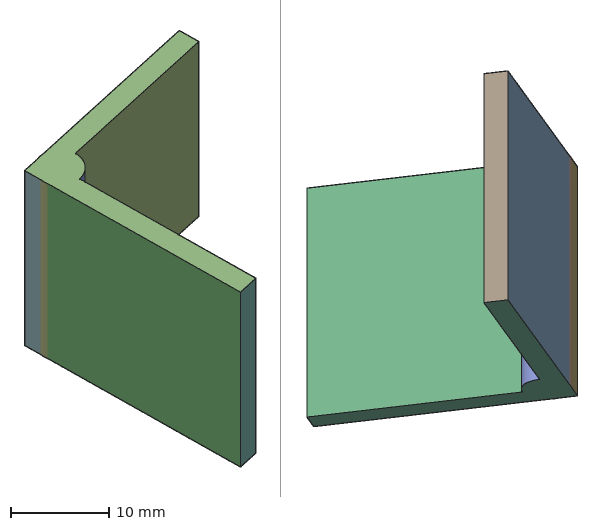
import cadquery as cq
import math

overall_length = 27.98
side_leg = 25.4
height = 25.4
thickness = 2.55
strip_width = 0.9

bead_radius = math.hypot(thickness, strip_width / 2)
bulge = bead_radius - thickness
front_leg = overall_length - bulge


def leg(size_x, size_y):
    """Upright plate with its outer corner on the Z axis."""
    return cq.Workplane("XY").box(size_x, size_y, height, centered=False)


def corner_bead():
    """Full-height round bar along the inner corner."""
    return cq.Workplane("XY").center(thickness, thickness).circle(bead_radius).extrude(height)


result = leg(front_leg, thickness).union(leg(thickness, side_leg)).union(corner_bead())